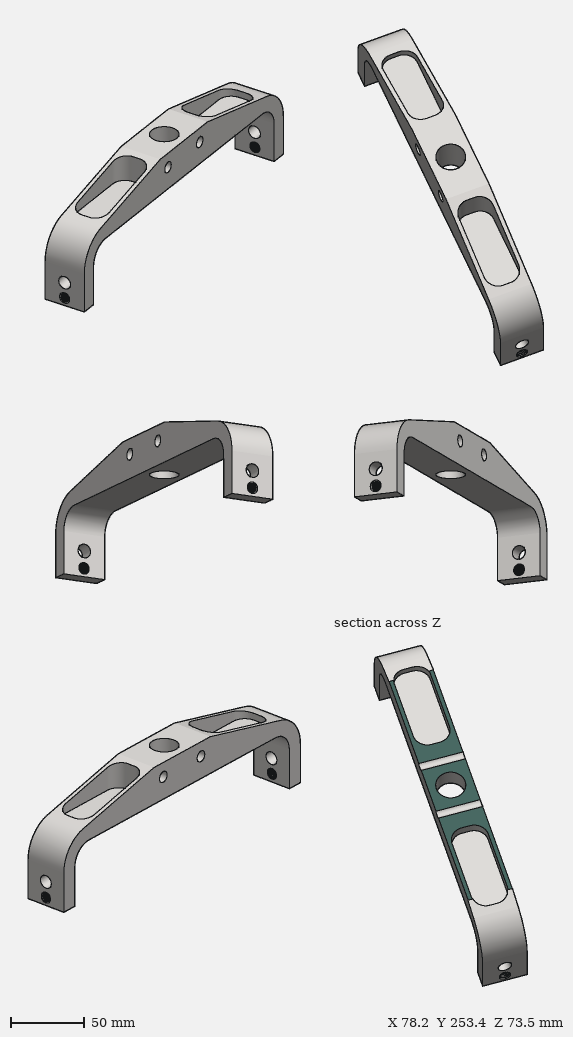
import cadquery as cq
import math

LENGTH = 251.8
WIDTH = 32.0
HEIGHT = 73.5
TURN_ANGLE = 10.7

LEG_THICKNESS = 12.0
UNDERSIDE_Z = 45.0
OUTER_RADIUS = 26.9
INNER_RADIUS = OUTER_RADIUS - LEG_THICKNESS
LEG_STRAIGHT = UNDERSIDE_Z - INNER_RADIUS
CREST_HALF_LENGTH = 30.0

POCKET_LENGTH = 63.8
POCKET_WIDTH = 25.5
POCKET_CORNER = 10.0
POCKET_OFFSET = 67.1
POCKET_FLOOR_Z = 52.5

CENTER_HOLE_DIAMETER = 20.3
SIDE_HOLE_DIAMETER = 8.0
SIDE_HOLE_OFFSET = 20.0
SIDE_HOLE_Z = 62.3
UPPER_LEG_HOLE_DIAMETER = 9.5
UPPER_LEG_HOLE_Z = 18.2
LOWER_LEG_HOLE_Z = 6.0
THREAD_ROOT_DIAMETER = 8.0
THREAD_CREST_DIAMETER = 6.3
THREAD_PITCH = 1.3


def slope_angle():
    """Angle of the line from the crest corner tangent to the outer bend."""
    run = LENGTH / 2 - OUTER_RADIUS - CREST_HALF_LENGTH
    drop = HEIGHT - LEG_STRAIGHT
    return math.atan2(drop, run) - math.asin(OUTER_RADIUS / math.hypot(run, drop))


def make_body():
    half = LENGTH / 2
    bend_center = half - OUTER_RADIUS

    def bend_point(radius, angle):
        return (bend_center + radius * math.cos(angle), LEG_STRAIGHT + radius * math.sin(angle))

    tangent_angle = math.pi / 2 - slope_angle()
    half_body = (
        cq.Workplane("YZ")
        .moveTo(0, UNDERSIDE_Z)
        .lineTo(bend_center, UNDERSIDE_Z)
        .threePointArc(bend_point(INNER_RADIUS, math.pi / 4), bend_point(INNER_RADIUS, 0))
        .lineTo(half - LEG_THICKNESS, 0)
        .lineTo(half, 0)
        .lineTo(half, LEG_STRAIGHT)
        .threePointArc(
            bend_point(OUTER_RADIUS, tangent_angle / 2),
            bend_point(OUTER_RADIUS, tangent_angle),
        )
        .lineTo(CREST_HALF_LENGTH, HEIGHT)
        .lineTo(0, HEIGHT)
        .close()
        .extrude(WIDTH / 2, both=True)
    )
    return half_body.union(half_body.mirror("XZ")).clean()


def make_pockets():
    return (
        cq.Workplane("XY", origin=(0, 0, POCKET_FLOOR_Z))
        .pushPoints([(0, -POCKET_OFFSET), (0, POCKET_OFFSET)])
        .rect(POCKET_WIDTH, POCKET_LENGTH)
        .extrude(HEIGHT - POCKET_FLOOR_Z)
        .edges("|Z")
        .fillet(POCKET_CORNER)
    )


def make_center_hole():
    return cq.Workplane("XY").circle(CENTER_HOLE_DIAMETER / 2).extrude(HEIGHT)


def make_side_holes():
    return (
        cq.Workplane("YZ")
        .pushPoints([(-SIDE_HOLE_OFFSET, SIDE_HOLE_Z), (SIDE_HOLE_OFFSET, SIDE_HOLE_Z)])
        .circle(SIDE_HOLE_DIAMETER / 2)
        .extrude(WIDTH / 2, both=True)
    )


def make_upper_leg_holes():
    return (
        cq.Workplane("XZ", origin=(0, 0, UPPER_LEG_HOLE_Z))
        .circle(UPPER_LEG_HOLE_DIAMETER / 2)
        .extrude(LENGTH / 2, both=True)
    )


def make_lower_leg_hole(side):
    """Threaded hole through one leg, with the thread simplified to V-shaped rings."""
    root_radius = THREAD_ROOT_DIAMETER / 2
    crest_radius = THREAD_CREST_DIAMETER / 2
    outer_face = LENGTH / 2
    ring_count = math.ceil(LEG_THICKNESS / THREAD_PITCH)
    wall = [(root_radius, outer_face)]
    for ring in range(ring_count):
        ring_start = outer_face - ring * THREAD_PITCH
        wall.append((crest_radius, ring_start - THREAD_PITCH / 2))
        wall.append((root_radius, ring_start - THREAD_PITCH))
    bore_end = outer_face - ring_count * THREAD_PITCH
    cutter = (
        cq.Workplane("XY")
        .polyline([(0, outer_face)] + wall + [(0, bore_end)])
        .close()
        .revolve(360, (0, 0, 0), (0, 1, 0))
    )
    if side < 0:
        cutter = cutter.mirror("XZ")
    return cutter.translate((0, 0, LOWER_LEG_HOLE_Z))


result = (
    make_body()
    .cut(make_pockets())
    .cut(make_center_hole())
    .cut(make_side_holes())
    .cut(make_upper_leg_holes())
)
for side in (-1, 1):
    result = result.cut(make_lower_leg_hole(side))
result = result.rotate((0, 0, 0), (0, 0, 1), -TURN_ANGLE)